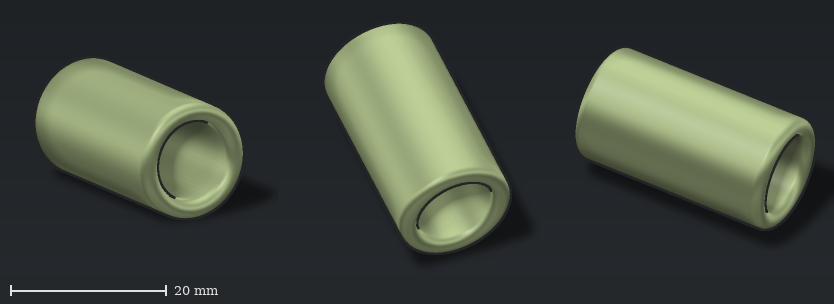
import cadquery as cq

length = 28.0
outer_diameter = 15.5
bore_diameter = 10.5

outer_radius = outer_diameter / 2
bore_radius = bore_diameter / 2
rim_radius = (outer_radius - bore_radius) / 2
wall_middle_radius = (outer_radius + bore_radius) / 2
half_length = length / 2
straight_half_length = half_length - rim_radius

wall_section = (
    cq.Workplane("XY")
    .moveTo(-straight_half_length, bore_radius)
    .lineTo(straight_half_length, bore_radius)
    .threePointArc((half_length, wall_middle_radius), (straight_half_length, outer_radius))
    .lineTo(-straight_half_length, outer_radius)
    .threePointArc((-half_length, wall_middle_radius), (-straight_half_length, bore_radius))
    .close()
)

result = wall_section.revolve(360, (0, 0, 0), (1, 0, 0))